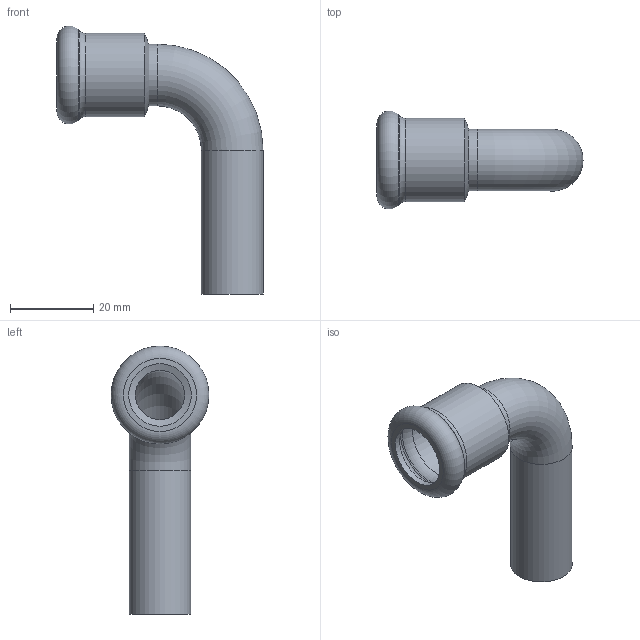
import cadquery as cq
import math


tube_radius = 7.4
wall = 1.5
bend_radius = 18.0
leg_end_depth = 52.5

mouth_to_leg_axis = 42.0
mouth_radius = 7.5
socket_radius = 10.0
socket_start = 6.8
taper_start = 21.0
taper_end = 22.0

bead_section_radius = 3.0
bead_section_center = 8.75
bead_end_angle = math.radians(45)

mouth_x = -mouth_to_leg_axis
bend_start_x = -bend_radius

bead_end_x = bead_section_radius * (1 + math.sin(bead_end_angle))
bead_end_radius = bead_section_center + bead_section_radius * math.cos(bead_end_angle)
slope_foot_x = bead_end_x + (bead_end_radius - socket_radius) / math.tan(bead_end_angle)
blend_radius = (socket_start - slope_foot_x) / math.tan(bead_end_angle / 2)

taper_angle = math.atan2(socket_radius - tube_radius, taper_end - taper_start)
corner_shift = math.tan(taper_angle / 2)


def on_arc(center_x, center_r, radius, angle):
    """Point at an angle from the radial direction, turning toward +X."""
    return (
        center_x + radius * math.sin(angle),
        center_r + radius * math.cos(angle),
    )


def socket_body(inset):
    """Solid bead, socket and neck, with the surface moved inward by inset."""
    bead_x = mouth_x + bead_section_radius
    bead_r = bead_section_radius - inset
    blend_x = mouth_x + socket_start
    blend_center_r = socket_radius + blend_radius
    blend_r = blend_radius + inset
    slope_side = math.pi + bead_end_angle
    blend_middle = math.pi + bead_end_angle / 2
    shift = inset * corner_shift
    profile = (
        cq.Workplane("XZ")
        .moveTo(bead_x - bead_r, 0)
        .lineTo(bead_x - bead_r, bead_section_center)
        .threePointArc(
            on_arc(bead_x, bead_section_center, bead_r, 0),
            on_arc(bead_x, bead_section_center, bead_r, bead_end_angle),
        )
        .lineTo(*on_arc(blend_x, blend_center_r, blend_r, slope_side))
        .threePointArc(
            on_arc(blend_x, blend_center_r, blend_r, blend_middle),
            on_arc(blend_x, blend_center_r, blend_r, math.pi),
        )
        .lineTo(mouth_x + taper_start - shift, socket_radius - inset)
        .lineTo(mouth_x + taper_end - shift, tube_radius - inset)
        .lineTo(bend_start_x, tube_radius - inset)
        .lineTo(bend_start_x, 0)
        .close()
    )
    return profile.revolve(360, (0, 0, 0), (1, 0, 0))


def bend_body(radius):
    """Quarter-torus from the neck down to the leg."""
    return (
        cq.Workplane("YZ", origin=(bend_start_x, 0, 0))
        .circle(radius)
        .revolve(90, (0, -bend_radius, 0), (1, -bend_radius, 0))
    )


def leg_body(radius):
    """Straight leg from the end of the bend to its open end."""
    return (
        cq.Workplane("XY", origin=(0, 0, -leg_end_depth))
        .circle(radius)
        .extrude(leg_end_depth - bend_radius)
    )


def elbow_body(inset):
    """Whole elbow as a solid, with the surface moved inward by inset."""
    radius = tube_radius - inset
    return socket_body(inset).union(bend_body(radius)).union(leg_body(radius))


def mouth_opening():
    """Hole through the front wall of the bead."""
    return (
        cq.Workplane("YZ", origin=(mouth_x, 0, 0))
        .circle(mouth_radius)
        .extrude(bead_section_radius)
    )


result = elbow_body(0).cut(elbow_body(wall)).cut(mouth_opening())